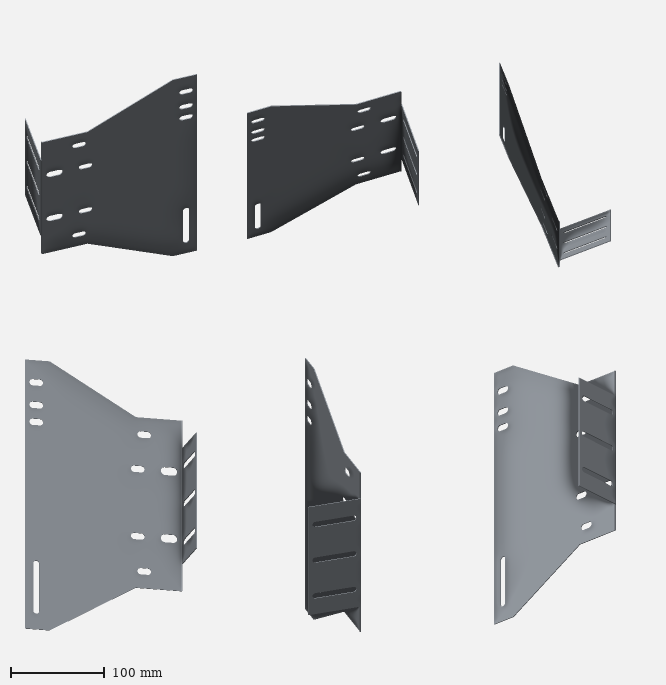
import cadquery as cq
import math

sheet = 1.0
bend_radius = 2 * sheet
flange_width = 60.0
plate_depth = 174.0
plate_height = 300.0
flange_height = 129.0

neck_height = 190.2
far_edge_flat = 27.0
taper_angle = 30.0

small_slot = (15.0, 7.2)
large_slot = (18.0, 9.0)
adjusting_slot = (59.0, 6.5)
flange_slot = (49.8, 6.3)

far_slot_y = plate_depth - 12.3
far_slot_heights = (125.5, 100.2, 81.3)
adjusting_slot_z = -103.0
outer_neck_slot = (42.5, 76.2)
inner_neck_slot = (49.8, 37.5)
large_neck_slot = (15.3, inner_neck_slot[1])

flange_slot_x = 29.5
flange_slot_pitch = 42.5


def make_plate():
    """Plate parallel to YZ, tapering from the tall far edge to the start of the bend."""
    taper_start_y = plate_depth - far_edge_flat
    taper_rise = (plate_height - neck_height) / 2
    taper_end_y = taper_start_y - taper_rise / math.tan(math.radians(taper_angle))
    upper_outline = [
        (bend_radius, neck_height / 2),
        (taper_end_y, neck_height / 2),
        (taper_start_y, plate_height / 2),
        (plate_depth, plate_height / 2),
    ]
    lower_outline = [(y, -z) for y, z in reversed(upper_outline)]
    return (
        cq.Workplane("YZ", origin=(flange_width - sheet, 0, 0))
        .polyline(upper_outline + lower_outline)
        .close()
        .extrude(sheet)
    )


def make_bent_flange():
    """Neck-high bend and flange; beyond the flange only the start of the bend remains."""
    inner_x = flange_width - sheet
    inner_radius = bend_radius - sheet
    bend_x = flange_width - bend_radius
    diagonal = math.sqrt(0.5)
    outer_mid = (bend_x + bend_radius * diagonal, bend_radius * (1 - diagonal))
    inner_mid = (bend_x + inner_radius * diagonal, bend_radius - inner_radius * diagonal)
    bent_sheet = (
        cq.Workplane("XY", origin=(0, 0, -neck_height / 2))
        .lineTo(bend_x, 0)
        .threePointArc(outer_mid, (flange_width, bend_radius))
        .lineTo(inner_x, bend_radius)
        .threePointArc(inner_mid, (bend_x, sheet))
        .lineTo(0, sheet)
        .close()
        .extrude(neck_height)
    )
    flange_layer = cq.Workplane("XY").box(
        flange_width, sheet, neck_height, centered=(False, False, True)
    )
    flange_space = cq.Workplane("XY").box(
        flange_width, sheet, flange_height, centered=(False, False, True)
    )
    return bent_sheet.cut(flange_layer.cut(flange_space))


def plate_slots(points, size, angle=0):
    """Cutters through the plate; angle 0 lays the slots along Y."""
    return (
        cq.Workplane("YZ", origin=(flange_width, 0, 0))
        .pushPoints(points)
        .slot2D(*size, angle)
        .extrude(-2 * sheet)
    )


def mirrored_pair(point):
    """The point and its mirror image across Z = 0."""
    y, z = point
    return [(y, z), (y, -z)]


def flange_slots():
    """Cutters through the flange, laid along X."""
    points = [(flange_slot_x, row * flange_slot_pitch) for row in (-1, 0, 1)]
    return (
        cq.Workplane("XZ")
        .pushPoints(points)
        .slot2D(*flange_slot)
        .extrude(-2 * sheet)
    )


result = make_plate().union(make_bent_flange())

small_slot_points = [(far_slot_y, z) for z in far_slot_heights]
small_slot_points += mirrored_pair(outer_neck_slot) + mirrored_pair(inner_neck_slot)
result = result.cut(plate_slots(small_slot_points, small_slot))
result = result.cut(plate_slots(mirrored_pair(large_neck_slot), large_slot))
result = result.cut(plate_slots([(far_slot_y, adjusting_slot_z)], adjusting_slot, angle=90))
result = result.cut(flange_slots())